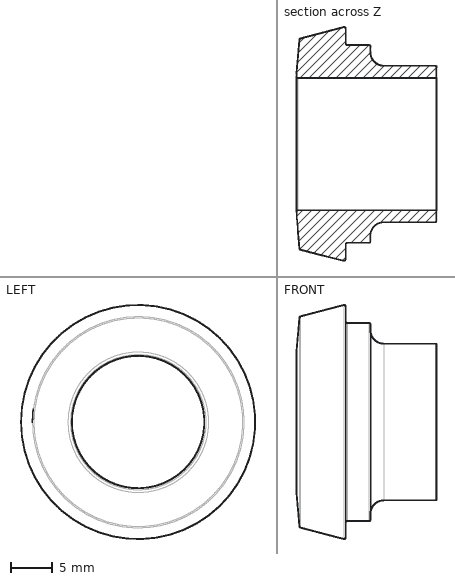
import cadquery as cq
import math

total_length = 17.0
flange_back = 6.0
collar_back = 9.0

flange_radius = 14.2
face_rim_radius = 12.77
collar_radius = 12.0
spigot_radius = 9.5
mouth_radius = 8.5
bore_radius = 8.0

cone_angle = 15.0
face_angle = 5.0

edge_round = 0.2
neck_fillet = 1.6

rim_x = (face_rim_radius - mouth_radius) * math.tan(math.radians(face_angle))

cone_slope = math.radians(cone_angle)
corner_excess = edge_round * (1 / math.cos(cone_slope) - 1 + math.tan(cone_slope))
flange_corner_radius = flange_radius + corner_excess

pick_margin = 0.003


def slab(x, half_height):
    """Selector for edges lying wholly in a thin square slab at station x."""
    return cq.selectors.BoxSelector(
        (x - pick_margin, -half_height, -half_height),
        (x + pick_margin, half_height, half_height),
        boundingbox=True,
    )


def circle_edge(x, radius):
    """Selector for the circular edge of the given radius at station x."""
    return slab(x, radius + pick_margin) - slab(x, radius - pick_margin)


outline = [
    (0, bore_radius),
    (0, mouth_radius),
    (rim_x, face_rim_radius),
    (flange_back, flange_corner_radius),
    (flange_back, collar_radius),
    (collar_back, collar_radius),
    (collar_back, spigot_radius),
    (total_length, spigot_radius),
    (total_length, bore_radius),
]
body = cq.Workplane("XY").polyline(outline).close().revolve(360, (0, 0, 0), (1, 0, 0))

body = body.edges(circle_edge(collar_back, spigot_radius)).fillet(neck_fillet)
body = body.edges(circle_edge(flange_back, collar_radius)).fillet(edge_round)

rounded_edges = [
    (0, bore_radius),
    (rim_x, face_rim_radius),
    (flange_back, flange_corner_radius),
    (collar_back, collar_radius),
    (total_length, spigot_radius),
]
for x, radius in rounded_edges:
    body = body.edges(circle_edge(x, radius)).fillet(edge_round)

result = body